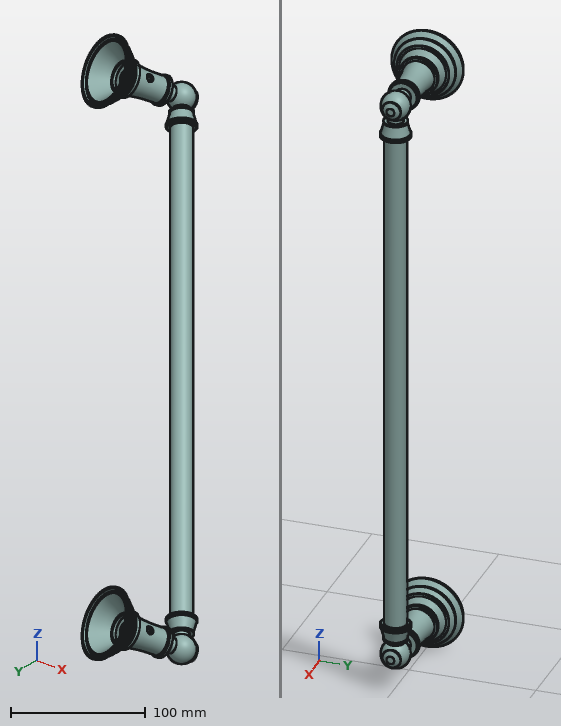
import cadquery as cq

OVERALL_HEIGHT = 514.0
FLANGE_RADIUS = 28.0
MOUNT_Z = OVERALL_HEIGHT / 2 - FLANGE_RADIUS
BAR_AXIS_X = 72.0

RIM_THICKNESS = 1.5
BAND_START = 5.5
BAND_END = 7.0
BAND_RADIUS = 24.0
STEP_START = 11.0
STEP_END = 12.0
STEP_TOP_RADIUS = 20.5
STEP_FOOT_RADIUS = 18.5
FLANGE_NECK_START = 17.0
FLANGE_LENGTH = 18.5
FLANGE_NECK_RADIUS = 13.5
MOUTH_RADIUS = 26.5
LIP_DEPTH = 1.5
LIP_OUTER_RADIUS = 25.0
LIP_INNER_RADIUS = 23.5
FLOOR_DEPTH = 15.5
FLOOR_RADIUS = 12.5
FLANGE_BORE_RADIUS = 11.0

FOOT_RING_RADIUS = 15.0
FOOT_RING_END = 21.5
POST_FOOT_RADIUS = 13.0
POST_WAIST_X = 33.5
POST_WAIST_RADIUS = 11.5
POST_TIP_RADIUS = 11.0
TIP_RING_START = 51.0
TIP_RING_RADIUS = 12.0
TIP_RING_CHAMFER = 1.0
POST_END = 55.5
STUD_RECESS_RADIUS = 5.5
STUD_RECESS_DEPTH = 1.5
STUD_HOLE_RADIUS = 3.5
STUD_HOLE_DEPTH = 7.5
SET_SCREW_X = 34.0
SET_SCREW_RECESS_RADIUS = 3.0
SET_SCREW_RECESS_DEPTH = 3.0
SET_SCREW_HOLE_RADIUS = 1.5
SET_SCREW_HOLE_DEPTH = 6.0

BALL_RADIUS = 11.5
NECK_RADIUS = 6.0
BUTTON_RADIUS = 7.0
BUTTON_HEIGHT = 0.5
BUTTON_CROWN_HEIGHT = 2.0
BUTTON_CROWN_RADIUS = 3.0

COLLAR_START = 12.5
COLLAR_LIP_END = 13.5
COLLAR_LIP_RADIUS = 9.0
COLLAR_THROAT_RADIUS = 8.5
COLLAR_SKIRT_END = 22.5
COLLAR_SKIRT_RADIUS = 11.5
COLLAR_RING_START = 23.0
COLLAR_RING_END = 24.5
COLLAR_RING_RADIUS = 12.0
COLLAR_END = 25.5
COLLAR_END_RADIUS = 11.0

BAR_RADIUS = 8.5


def place_on_wall(body, mount_z):
    """Move a body, modelled with its mount axis at Z = 0, to the height of that mount."""
    return body.translate((0, 0, mount_z))


def revolve_about_x(profile):
    return profile.close().revolve(360, (0, 0, 0), (1, 0, 0))


def make_flange():
    profile = (
        cq.Workplane("XY")
        .moveTo(0, MOUTH_RADIUS)
        .lineTo(0, FLANGE_RADIUS)
        .lineTo(RIM_THICKNESS, FLANGE_RADIUS)
        .lineTo(BAND_START, BAND_RADIUS)
        .lineTo(BAND_END, BAND_RADIUS)
        .lineTo(STEP_START, STEP_TOP_RADIUS)
        .lineTo(STEP_END, STEP_TOP_RADIUS)
        .lineTo(STEP_END, STEP_FOOT_RADIUS)
        .lineTo(FLANGE_NECK_START, FLANGE_NECK_RADIUS)
        .lineTo(FLANGE_LENGTH, FLANGE_NECK_RADIUS)
        .lineTo(FLANGE_LENGTH, FLANGE_BORE_RADIUS)
        .lineTo(FLOOR_DEPTH, FLANGE_BORE_RADIUS)
        .lineTo(FLOOR_DEPTH, FLOOR_RADIUS)
        .lineTo(LIP_DEPTH, LIP_INNER_RADIUS)
        .lineTo(LIP_DEPTH, LIP_OUTER_RADIUS)
    )
    return revolve_about_x(profile)


def make_stepped_hole(mouth_plane, recess_radius, recess_depth, hole_radius, hole_depth):
    """Cutting tool for a blind hole with a wider recess at its mouth."""
    recess = mouth_plane.circle(recess_radius).extrude(recess_depth)
    hole = mouth_plane.circle(hole_radius).extrude(hole_depth)
    return recess.union(hole)


def make_post():
    profile = (
        cq.Workplane("XY")
        .moveTo(FLANGE_LENGTH, 0)
        .lineTo(FLANGE_LENGTH, FOOT_RING_RADIUS)
        .lineTo(FOOT_RING_END, FOOT_RING_RADIUS)
        .lineTo(FOOT_RING_END, POST_FOOT_RADIUS)
        .threePointArc((POST_WAIST_X, POST_WAIST_RADIUS), (TIP_RING_START, POST_TIP_RADIUS))
        .lineTo(TIP_RING_START + TIP_RING_CHAMFER, TIP_RING_RADIUS)
        .lineTo(POST_END - TIP_RING_CHAMFER, TIP_RING_RADIUS)
        .lineTo(POST_END, TIP_RING_RADIUS - TIP_RING_CHAMFER)
        .lineTo(POST_END, 0)
    )
    stud_hole = make_stepped_hole(
        cq.Workplane("YZ", origin=(FLANGE_LENGTH, 0, 0)),
        STUD_RECESS_RADIUS,
        STUD_RECESS_DEPTH,
        STUD_HOLE_RADIUS,
        STUD_HOLE_DEPTH,
    )
    set_screw_hole = make_stepped_hole(
        cq.Workplane("ZX", origin=(SET_SCREW_X, -POST_FOOT_RADIUS, 0)),
        SET_SCREW_RECESS_RADIUS,
        SET_SCREW_RECESS_DEPTH,
        SET_SCREW_HOLE_RADIUS,
        SET_SCREW_HOLE_DEPTH,
    )
    return revolve_about_x(profile).cut(stud_hole).cut(set_screw_hole)


def make_ball_joint(bar_direction):
    """Ball whose bar neck points up (+1) or down (-1) along Z."""
    ball = cq.Workplane("XY").sphere(BALL_RADIUS)
    post_neck = cq.Workplane("YZ").circle(NECK_RADIUS).extrude(POST_END - BAR_AXIS_X)
    bar_neck = cq.Workplane("XY").circle(NECK_RADIUS).extrude(bar_direction * COLLAR_START)
    button_end = BALL_RADIUS + BUTTON_HEIGHT
    button = revolve_about_x(
        cq.Workplane("XY")
        .lineTo(0, BUTTON_RADIUS)
        .lineTo(button_end - BUTTON_CROWN_HEIGHT, BUTTON_RADIUS)
        .lineTo(button_end, BUTTON_CROWN_RADIUS)
        .lineTo(button_end, 0)
    )
    return ball.union(post_neck).union(bar_neck).union(button).translate((BAR_AXIS_X, 0, 0))


def make_collar(bar_direction):
    """Turned collar between ball and bar, above (+1) or below (-1) the ball."""
    profile = (
        cq.Workplane("XZ")
        .moveTo(0, COLLAR_START)
        .lineTo(COLLAR_LIP_RADIUS, COLLAR_START)
        .lineTo(COLLAR_LIP_RADIUS, COLLAR_LIP_END)
        .lineTo(COLLAR_THROAT_RADIUS, COLLAR_LIP_END)
        .lineTo(COLLAR_SKIRT_RADIUS, COLLAR_SKIRT_END)
        .lineTo(COLLAR_RING_RADIUS, COLLAR_RING_START)
        .lineTo(COLLAR_RING_RADIUS, COLLAR_RING_END)
        .lineTo(COLLAR_END_RADIUS, COLLAR_END)
        .lineTo(0, COLLAR_END)
        .close()
    )
    collar = profile.revolve(360, (0, 0, 0), (0, 1, 0))
    if bar_direction < 0:
        collar = collar.mirror("XY")
    return collar.translate((BAR_AXIS_X, 0, 0))


def make_bar():
    bar_bottom = COLLAR_END - MOUNT_Z
    return cq.Workplane("XY", origin=(BAR_AXIS_X, 0, bar_bottom)).circle(BAR_RADIUS).extrude(-2 * bar_bottom)


bodies = [make_bar().val()]
for side in (1, -1):
    mount_bodies = [make_flange(), make_post(), make_ball_joint(-side), make_collar(-side)]
    for body in mount_bodies:
        bodies.append(place_on_wall(body, side * MOUNT_Z).val())

result = cq.Compound.makeCompound(bodies)